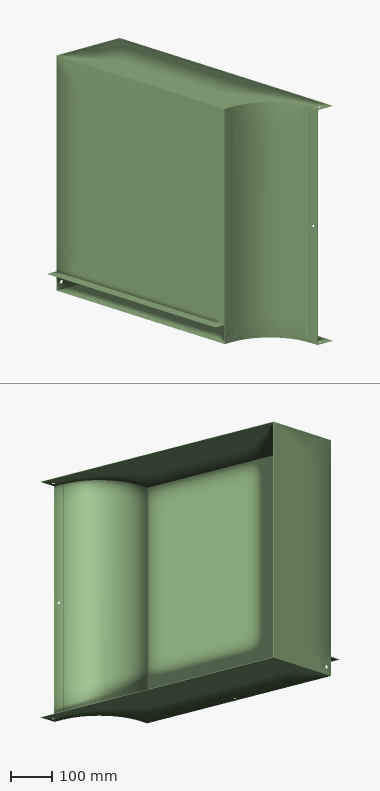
import cadquery as cq

length = 760.0
height = 600.0
depth = 240.0
sheet = 1.0
lip_depth = 30.0
margin = 30.0
corner_radius = 130.0
slot_height = 49.5
plate_hole = 9.0
panel_hole = 7.0
lip_hole_diameter = 5.0
edge_inset = 15.0
side_hole_height = 20.0
back_inset = 30.0

front_y = lip_depth
case_y = front_y + sheet
arc_start_y = front_y + margin
strip_y = arc_start_y + corner_radius
front_length = length - margin - corner_radius
arc_end_x = length - margin


def box(x0, x1, y0, y1, z0, z1):
    """Box between opposite corner coordinates."""
    return cq.Workplane("XY").box(x1 - x0, y1 - y0, z1 - z0, centered=False).translate((x0, y0, z0))


def outline(inset, back_y):
    """Plan outline moved inward by inset, ending at back_y."""
    radius = corner_radius + inset
    diagonal = radius * 0.5 ** 0.5
    return (
        cq.Workplane("XY")
        .moveTo(inset, back_y)
        .lineTo(inset, front_y + inset)
        .lineTo(front_length - inset, front_y + inset)
        .lineTo(front_length - inset, arc_start_y)
        .threePointArc(
            (arc_end_x - diagonal, arc_start_y + diagonal),
            (arc_end_x, strip_y + inset),
        )
        .lineTo(length - inset, strip_y + inset)
        .lineTo(length - inset, back_y)
        .close()
    )


def hole(axis, center, diameter, reach):
    """Drilling cylinder along an axis, extending reach to both sides of its centre."""
    direction = cq.Vector(*axis)
    start = cq.Vector(*center) - direction * reach
    return cq.Workplane(obj=cq.Solid.makeCylinder(diameter / 2, 2 * reach, start, direction))


case = outline(0, depth).extrude(height)
cavity = outline(sheet, depth + sheet).extrude(height - 2 * sheet).translate((0, 0, sheet))
case = case.cut(cavity)

case = case.cut(box(0, front_length, front_y, case_y, 0, slot_height - sheet))

strip = box(arc_end_x, length, strip_y + sheet, strip_y + 2 * sheet, 0, height)
case = case.union(strip)
case = case.cut(box(arc_end_x, length, strip_y, strip_y + sheet, 0, height))

case = case.cut(box(length - sheet, length, strip_y + 2 * sheet, depth, sheet, height - sheet))

panel = box(0, front_length, front_y, case_y, slot_height - sheet, height)
lip = box(0, front_length, 0, case_y, slot_height - sheet, slot_height)
case = case.union(panel).union(lip)

end_plate_holes = hole((0, 0, 1), (length - edge_inset, depth - back_inset, height / 2), plate_hole, height)
side_holes = hole((1, 0, 0), (length / 2, case_y + edge_inset, side_hole_height), plate_hole, length)
strip_hole = hole((0, 1, 0), (length - edge_inset, strip_y + sheet, height / 2), panel_hole, 4 * sheet)
lip_hole = hole((0, 0, 1), (front_length / 2, lip_depth / 2, slot_height), lip_hole_diameter, 2 * sheet)
floor_hole = hole((0, 0, 1), (front_length / 2, case_y + edge_inset, 0), panel_hole, 2 * sheet)
for cutter in (end_plate_holes, side_holes, strip_hole, lip_hole, floor_hole):
    case = case.cut(cutter)

result = case